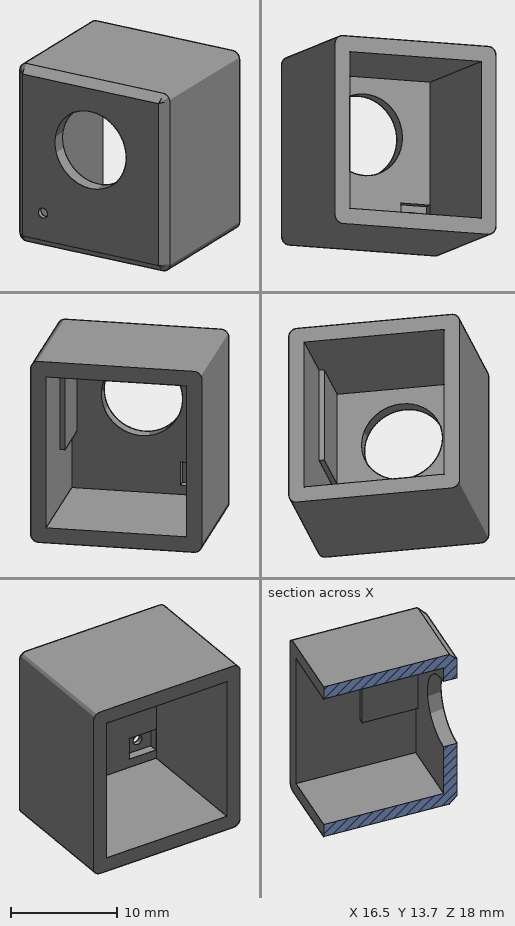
import cadquery as cq

WIDTH = 16.5
DEPTH = 13.65
HEIGHT = 18.0
EDGE = 0.8

WALL = 1.5
FRONT_WALL = 1.4

LARGE_HOLE_DIAMETER = 7.8
LARGE_HOLE_X = 0.0
LARGE_HOLE_Z = 11.0
SMALL_HOLE_DIAMETER = 1.0
SMALL_HOLE_X = -5.23
SMALL_HOLE_Z = 3.57

PAD_THICKNESS = 0.5
PAD_BACK_Y = 7.1
PAD_BOTTOM_Z = 7.15

POCKET_WIDTH = 3.0
POCKET_HEIGHT = 2.3
POCKET_FLOOR = 0.5


def outer_block():
    """Block with rounded lengthwise edges and a chamfered front outline."""
    body = (
        cq.Workplane("XZ", origin=(0, EDGE, HEIGHT / 2))
        .rect(WIDTH, HEIGHT)
        .extrude(EDGE - DEPTH)
        .edges("|Y")
        .fillet(EDGE)
    )
    front = (
        cq.Workplane("XZ", origin=(0, 0, HEIGHT / 2))
        .rect(WIDTH - 2 * EDGE, HEIGHT - 2 * EDGE)
        .extrude(-EDGE, taper=-45)
    )
    return body.union(front)


def cavity():
    """Rectangular space behind the front wall, open at the back."""
    return (
        cq.Workplane("XY")
        .box(WIDTH - 2 * WALL, DEPTH - FRONT_WALL, HEIGHT - 2 * WALL, centered=(True, False, False))
        .translate((0, FRONT_WALL, WALL))
    )


def side_pad():
    """Rectangular pad in the upper front corner of the +X cavity wall."""
    cavity_side = WIDTH / 2 - WALL
    return (
        cq.Workplane("XY")
        .box(PAD_THICKNESS, PAD_BACK_Y - FRONT_WALL, HEIGHT - WALL - PAD_BOTTOM_Z, centered=False)
        .translate((cavity_side - PAD_THICKNESS, FRONT_WALL, PAD_BOTTOM_Z))
    )


def small_hole_pocket():
    """Rectangular recess that thins the front wall around the small hole."""
    return (
        cq.Workplane("XZ", origin=(SMALL_HOLE_X, POCKET_FLOOR, SMALL_HOLE_Z))
        .rect(POCKET_WIDTH, POCKET_HEIGHT)
        .extrude(POCKET_FLOOR - FRONT_WALL)
    )


def front_hole(diameter, x, z):
    """Cylinder along Y that cuts through the front wall."""
    return cq.Workplane("XZ").center(x, z).circle(diameter / 2).extrude(-DEPTH)


result = (
    outer_block()
    .cut(cavity().cut(side_pad()))
    .cut(small_hole_pocket())
    .cut(front_hole(LARGE_HOLE_DIAMETER, LARGE_HOLE_X, LARGE_HOLE_Z))
    .cut(front_hole(SMALL_HOLE_DIAMETER, SMALL_HOLE_X, SMALL_HOLE_Z))
)